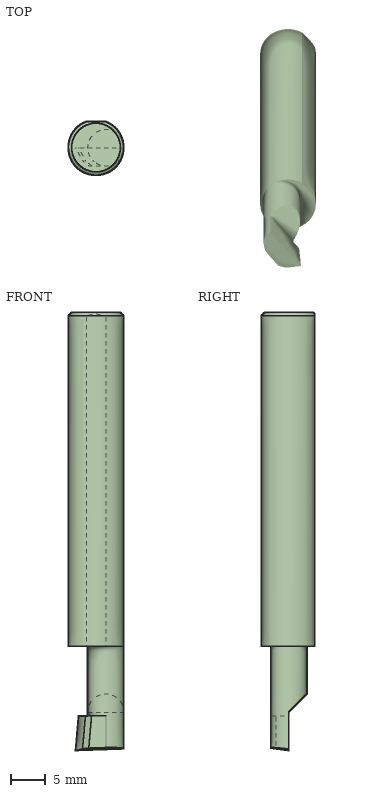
import cadquery as cq
import math

total_length = 63.0
shank_diameter = 8.0
shank_flat_y = 3.75
shank_chamfer = 0.5
neck_length = 15.0
neck_diameter = 5.2
relief_start = 5.55
tooth_height = 5.0
tooth_tip_x = -2.95
tooth_lean_angle = 5.0
heel_width = 1.0
heel_depth = 1.9
flank_width = 1.9
end_rise_x = 2.0
end_rise_y = 6.5

shank_radius = shank_diameter / 2
neck_radius = neck_diameter / 2
neck_x = shank_radius - neck_radius
cutter_size = 4 * shank_diameter
overrun = 1.25


def make_shank():
    """Round shank, chamfered at the top, with a flat along its +Y side."""
    shank = (
        cq.Workplane("XY")
        .workplane(offset=neck_length)
        .circle(shank_radius)
        .extrude(total_length - neck_length)
        .faces(">Z")
        .chamfer(shank_chamfer)
    )
    flat_cutter = cq.Workplane("XY").box(
        cutter_size, cutter_size, total_length, centered=(True, False, False)
    )
    return shank.cut(flat_cutter.translate((0, shank_flat_y, 0)))


def make_neck():
    """Eccentric neck, halved near its end and sloped at 45 degrees back to full round."""
    neck = (
        cq.Workplane("XY")
        .workplane(offset=-overrun)
        .center(neck_x, 0)
        .circle(neck_radius)
        .extrude(neck_length + overrun)
    )
    relief = (
        cq.Workplane("YZ")
        .moveTo(0, -overrun)
        .lineTo(0, relief_start)
        .lineTo(shank_radius, relief_start + shank_radius)
        .lineTo(shank_radius, -overrun)
        .close()
        .extrude(shank_diameter, both=True)
    )
    return neck.cut(relief)


def tooth_outline(z):
    """Corners of the tooth section at height z; its front is tangent to the neck."""
    edge_x = tooth_tip_x + z * math.tan(math.radians(tooth_lean_angle))
    return [
        (edge_x, 0),
        (edge_x + heel_width, -heel_depth),
        (edge_x + flank_width, -neck_radius),
        (neck_x, -neck_radius),
        (neck_x, 0),
    ]


def make_tooth():
    """Cutting tooth leaning outward towards the tip."""
    return (
        cq.Workplane("XY")
        .workplane(offset=-overrun)
        .polyline(tooth_outline(-overrun))
        .close()
        .workplane(offset=tooth_height + overrun)
        .polyline(tooth_outline(tooth_height))
        .close()
        .loft(ruled=True)
    )


def make_end_cutter():
    """Block whose top is the end face, rising from the cutting corner along +X and -Y."""
    slope_x = math.tan(math.radians(end_rise_x))
    slope_y = math.tan(math.radians(end_rise_y))
    end_plane = cq.Plane(
        origin=(tooth_tip_x, 0, 0), xDir=(1, 0, slope_x), normal=(-slope_x, slope_y, 1)
    )
    return cq.Workplane(end_plane).rect(cutter_size, cutter_size).extrude(-cutter_size)


result = make_shank().union(make_neck()).union(make_tooth()).cut(make_end_cutter())